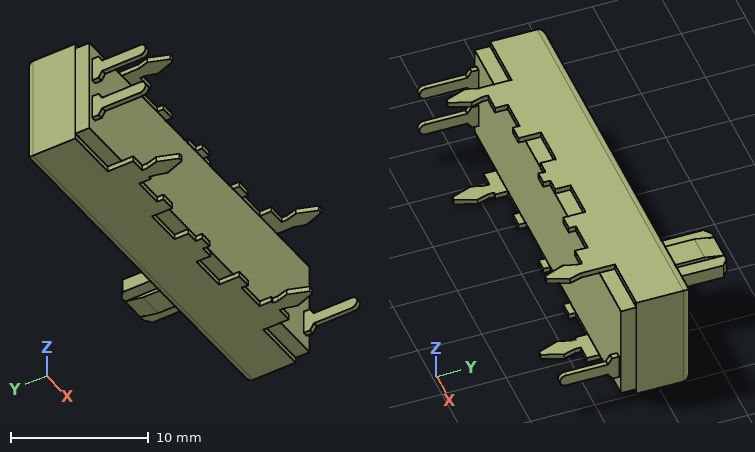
import cadquery as cq


LENGTH = 30.0
HEIGHT = 9.0
SHEET = 0.45
EMBED = 0.45
COVER_RADIUS = 0.63
BASE_LIP = 1.2
COVER_TOP = 5.5

FLAP_OUTER = 10.6
FLAP_INNER = 8.2
TAB_OUTER = 5.75
TAB_INNER = 4.55
WINDOW_INNER = 1.5
MIDDLE_TAB_HALF = 0.5
TAB_DROP = 0.55
FLAP_DROP = 1.0

PRONG_NECK_HALF = 0.48
PRONG_BARB_HALF = 0.75
PRONG_TIP_HALF = 0.165
PRONG_NECK_END = 1.4
PRONG_BARB_AT = 2.37
PRONG_END = 4.0
UPPER_PRONG_X = FLAP_OUTER - PRONG_NECK_HALF
LOWER_PRONG_X = 8.88

PIN_X = 14.4
PIN_Z = 1.77
PIN_THICKNESS = 0.42
PIN_WIDTH = 1.0
PIN_ROOT_WIDTH = 2.0
PIN_ROOT_END = 0.55
PIN_TAPER_END = 0.87
PIN_END = 4.6

SLIDER_X = 7.5
SLIDER_TIP = 10.5
SLIDER_WIDTH = 4.08
SLIDER_THICKNESS = 1.2
SLIDER_CHAMFER_X = 0.57
SLIDER_CHAMFER_Y = 0.45
RIB_WIDTH = 2.1
RIB_THICKNESS = 1.8
RIB_TAPER = 1.55

INNER_LENGTH = LENGTH - 2 * SHEET
INNER_HEIGHT = HEIGHT - 2 * SHEET
INNER_TOP = COVER_TOP - SHEET


def block(length, y_start, y_end, height):
    """Box centred on X and Z that runs from y_start to y_end."""
    return cq.Workplane("XY").box(length, y_end - y_start, height).translate((0, (y_start + y_end) / 2, 0))


def wall_edge():
    """Stepped edge strip of a long cover wall, with tabs, windows and flaps."""
    right_half = [
        (MIDDLE_TAB_HALF, -TAB_DROP),
        (MIDDLE_TAB_HALF, 0),
        (WINDOW_INNER, 0),
        (WINDOW_INNER, BASE_LIP),
        (TAB_INNER, BASE_LIP),
        (TAB_INNER, -TAB_DROP),
        (TAB_OUTER, -TAB_DROP),
        (TAB_OUTER, 0),
        (FLAP_INNER, 0),
        (FLAP_INNER, -FLAP_DROP),
        (FLAP_OUTER, -FLAP_DROP),
        (FLAP_OUTER, BASE_LIP),
    ]
    left_half = [(-x, y) for x, y in reversed(right_half)]
    back = BASE_LIP + EMBED
    outline = right_half + [(FLAP_OUTER, back), (-FLAP_OUTER, back)] + left_half
    return cq.Workplane("XY").polyline(outline).close().extrude(SHEET)


def prong(x):
    """Pointed snap prong centred on x, hanging from its flap."""
    right_half = [
        (PRONG_NECK_HALF, -FLAP_DROP + EMBED),
        (PRONG_NECK_HALF, -PRONG_NECK_END),
        (PRONG_BARB_HALF, -PRONG_BARB_AT),
        (PRONG_TIP_HALF, -PRONG_END),
    ]
    left_half = [(-dx, y) for dx, y in reversed(right_half)]
    outline = [(x + dx, y) for dx, y in right_half + left_half]
    return cq.Workplane("XY").polyline(outline).close().extrude(SHEET)


def make_cover():
    """Folded sheet box, open towards -Y, with stepped long walls and four prongs."""
    shell = block(LENGTH, BASE_LIP, COVER_TOP, HEIGHT).faces(">Y").edges().fillet(COVER_RADIUS)
    cavity = block(INNER_LENGTH, BASE_LIP, INNER_TOP, INNER_HEIGHT)
    cover = shell.cut(cavity)
    for wall_bottom, prong_x in ((INNER_HEIGHT / 2, UPPER_PRONG_X), (-HEIGHT / 2, LOWER_PRONG_X)):
        wall = wall_edge().union(prong(prong_x)).union(prong(-prong_x))
        cover = cover.union(wall.translate((0, 0, wall_bottom)))
    return cover


def pin(x, z):
    """Flat terminal with a wide root, tapered shoulders and a round end."""
    root = PIN_ROOT_WIDTH / 2
    half = PIN_WIDTH / 2
    round_start = half - PIN_END
    return (
        cq.Workplane("YZ")
        .moveTo(EMBED, root)
        .lineTo(-PIN_ROOT_END, root)
        .lineTo(-PIN_TAPER_END, half)
        .lineTo(round_start, half)
        .threePointArc((-PIN_END, 0), (round_start, -half))
        .lineTo(-PIN_TAPER_END, -half)
        .lineTo(-PIN_ROOT_END, -root)
        .lineTo(EMBED, -root)
        .close()
        .extrude(PIN_THICKNESS / 2, both=True)
        .translate((x, 0, z))
    )


def make_base():
    """Block that fills the cover, with a lip under the end walls and three terminals."""
    base = block(LENGTH, 0, BASE_LIP, INNER_HEIGHT).union(block(INNER_LENGTH, 0, INNER_TOP, INNER_HEIGHT))
    for x, z in ((-PIN_X, PIN_Z), (-PIN_X, -PIN_Z), (PIN_X, -PIN_Z)):
        base = base.union(pin(x, z))
    return base


def make_slider():
    """Flat lever with chamfered corners and a raised middle rib that tapers at the tip."""
    half_width = SLIDER_WIDTH / 2
    lever = (
        cq.Workplane("XY")
        .polyline([
            (-half_width, COVER_TOP),
            (half_width, COVER_TOP),
            (half_width, SLIDER_TIP - SLIDER_CHAMFER_Y),
            (half_width - SLIDER_CHAMFER_X, SLIDER_TIP),
            (SLIDER_CHAMFER_X - half_width, SLIDER_TIP),
            (-half_width, SLIDER_TIP - SLIDER_CHAMFER_Y),
        ])
        .close()
        .extrude(SLIDER_THICKNESS / 2, both=True)
    )
    rib = (
        cq.Workplane("YZ")
        .polyline([
            (COVER_TOP, RIB_THICKNESS / 2),
            (SLIDER_TIP - RIB_TAPER, RIB_THICKNESS / 2),
            (SLIDER_TIP, SLIDER_THICKNESS / 2),
            (SLIDER_TIP, -SLIDER_THICKNESS / 2),
            (SLIDER_TIP - RIB_TAPER, -RIB_THICKNESS / 2),
            (COVER_TOP, -RIB_THICKNESS / 2),
        ])
        .close()
        .extrude(RIB_WIDTH / 2, both=True)
    )
    return lever.union(rib).translate((SLIDER_X, 0, 0))


cover = make_cover()
base = make_base()
slider = make_slider()

result = cq.Compound.makeCompound([cover.val(), base.val(), slider.val()])